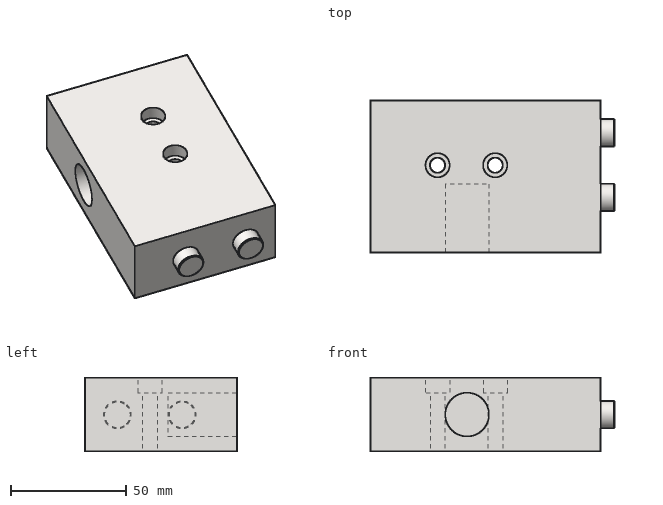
import cadquery as cq

overall_length = 106.0
pin_length = 6.0
block_length = overall_length - pin_length
block_width = 66.0
block_height = 32.0
mid_height = block_height / 2

screw_hole_diameter = 6.5
counterbore_diameter = 10.5
counterbore_depth = 6.5
first_screw_x = 29.2
screw_spacing = 25.0
screw_y = 38.0

bore_diameter = 19.0
bore_depth = 30.0
bore_x = 42.0

pin_diameter = 12.0
pin_chamfer = 0.4
first_pin_y = 24.0
pin_spacing = 28.1


def make_block():
    return cq.Workplane("XY").box(block_length, block_width, block_height, centered=False)


def make_screw_hole(x):
    """Through hole with its counterbore opening on the top face."""
    hole = (
        cq.Workplane("XY", origin=(x, screw_y, 0))
        .circle(screw_hole_diameter / 2)
        .extrude(block_height)
    )
    counterbore = (
        cq.Workplane("XY", origin=(x, screw_y, block_height))
        .circle(counterbore_diameter / 2)
        .extrude(-counterbore_depth)
    )
    return hole.union(counterbore)


def make_bore():
    return (
        cq.Workplane("XZ", origin=(bore_x, 0, mid_height))
        .circle(bore_diameter / 2)
        .extrude(-bore_depth)
    )


def make_pin(y):
    return (
        cq.Workplane("YZ", origin=(block_length, y, mid_height))
        .circle(pin_diameter / 2)
        .extrude(pin_length)
        .faces(">X")
        .chamfer(pin_chamfer)
    )


result = make_block().cut(make_bore())
for x in (first_screw_x, first_screw_x + screw_spacing):
    result = result.cut(make_screw_hole(x))
for y in (first_pin_y, first_pin_y + pin_spacing):
    result = result.union(make_pin(y))